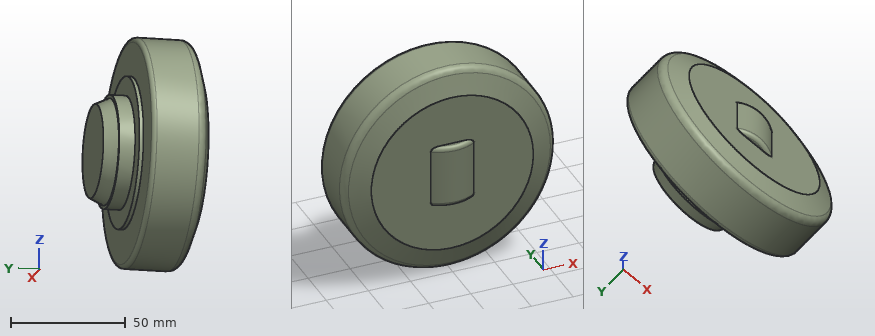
import cadquery as cq
import math

wheel_radius = 50.6
wheel_depth = 28.0
front_face_radius = 38.5
front_cone_angle = 20.0
front_round = 4.0
back_round = 2.0

flange_radius = 67.0 / 2
flange_length = 1.8
boss_radius = 50.0 / 2
boss_length = 7.0
cone_base_radius = 23.5
cone_tip_radius = 20.6
cone_length = 6.2

roller_radius = 37.0 / 2
roller_length = 30.2
roller_round = 2.0
roller_protrusion = 3.0


def revolve_about_y(points):
    """Turn a closed (radius, y) outline around the Y axis."""
    return cq.Workplane("XY").polyline(points).close().revolve(360, (0, 0), (0, 1))


def make_roller():
    """Cylinder with rounded rims, centred on the height of the wheel axis."""
    axis_y = roller_radius - roller_protrusion
    return (
        cq.Workplane("XY")
        .circle(roller_radius)
        .extrude(roller_length)
        .edges("%CIRCLE")
        .fillet(roller_round)
        .translate((0, axis_y, -roller_length / 2))
    )


def make_rim():
    """Solid disc with a conical front and rounded outer corners."""
    cone_depth = (wheel_radius - front_face_radius) * math.tan(math.radians(front_cone_angle))
    rim = revolve_about_y([
        (0, 0),
        (front_face_radius, 0),
        (wheel_radius, cone_depth),
        (wheel_radius, wheel_depth),
        (0, wheel_depth),
    ])
    rim = rim.faces("%CONE").edges(">Y").fillet(front_round)
    return rim.faces(">Y").edges("%CIRCLE").fillet(back_round)


def make_hub():
    """Flange, boss and tapered end stacked behind the rim."""
    flange_end = wheel_depth + flange_length
    boss_end = flange_end + boss_length
    cone_end = boss_end + cone_length
    return revolve_about_y([
        (0, wheel_depth),
        (flange_radius, wheel_depth),
        (flange_radius, flange_end),
        (boss_radius, flange_end),
        (boss_radius, boss_end),
        (cone_base_radius, boss_end),
        (cone_tip_radius, cone_end),
        (0, cone_end),
    ])


roller = make_roller()
wheel = make_rim().union(make_hub()).cut(roller)

result = cq.Compound.makeCompound([wheel.solids().val(), roller.solids().val()])